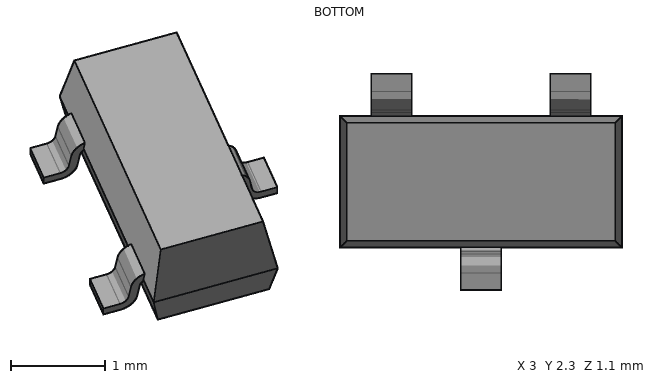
import cadquery as cq
import math

body_length = 3.0
body_depth = 1.4
body_height = 1.1
parting_height = 0.405
draft_angle = 10.0

lead_span = 2.3
lead_width = 0.432
lead_pitch = 1.905
lead_thickness = 0.102
foot_length = 0.185
inner_bend_radius = 0.1
outer_bend_radius = inner_bend_radius + lead_thickness
shank_length = 0.153
shank_lean = 10.0
lead_embed = 0.15


def make_body():
    """Two frustums widening towards the parting plane."""
    parting = cq.Workplane("XY").workplane(offset=parting_height)
    upper_height = body_height - parting_height
    upper = parting.rect(body_length, body_depth).extrude(upper_height, taper=draft_angle)
    lower = parting.rect(body_length, body_depth).extrude(-parting_height, taper=draft_angle)
    return upper.union(lower)


def point_on_arc(center, radius, angle):
    """Point at an angle in degrees, measured from +Y towards +Z."""
    a = math.radians(angle)
    return (center[0] + radius * math.cos(a), center[1] + radius * math.sin(a))


def make_lead(x_center):
    """S-bent strip that leaves the body towards +Y, centred on x_center."""
    toe = lead_span / 2
    heel = toe - foot_length
    lean = math.radians(shank_lean)

    lower_center = (heel, outer_bend_radius)
    center_gap = inner_bend_radius + outer_bend_radius
    upper_center = (
        heel - center_gap * math.cos(lean) - shank_length * math.sin(lean),
        outer_bend_radius - center_gap * math.sin(lean) + shank_length * math.cos(lean),
    )
    root = upper_center[0] - lead_embed
    top = upper_center[1] + outer_bend_radius
    underside = upper_center[1] + inner_bend_radius

    lower_end = 180 + shank_lean
    lower_mid = (lower_end + 270) / 2
    upper_end = shank_lean
    upper_mid = (upper_end + 90) / 2

    profile = (
        cq.Workplane("YZ")
        .moveTo(toe, 0)
        .lineTo(heel, 0)
        .threePointArc(
            point_on_arc(lower_center, outer_bend_radius, lower_mid),
            point_on_arc(lower_center, outer_bend_radius, lower_end),
        )
        .lineTo(*point_on_arc(upper_center, inner_bend_radius, upper_end))
        .threePointArc(
            point_on_arc(upper_center, inner_bend_radius, upper_mid),
            (upper_center[0], underside),
        )
        .lineTo(root, underside)
        .lineTo(root, top)
        .lineTo(upper_center[0], top)
        .threePointArc(
            point_on_arc(upper_center, outer_bend_radius, upper_mid),
            point_on_arc(upper_center, outer_bend_radius, upper_end),
        )
        .lineTo(*point_on_arc(lower_center, inner_bend_radius, lower_end))
        .threePointArc(
            point_on_arc(lower_center, inner_bend_radius, lower_mid),
            (heel, lead_thickness),
        )
        .lineTo(toe, lead_thickness)
        .close()
    )
    lead = profile.extrude(lead_width / 2, both=True)
    return lead.translate((x_center, 0, 0))


result = make_body().union(make_lead(0))
for x in (-lead_pitch / 2, lead_pitch / 2):
    result = result.union(make_lead(x).mirror("XZ"))